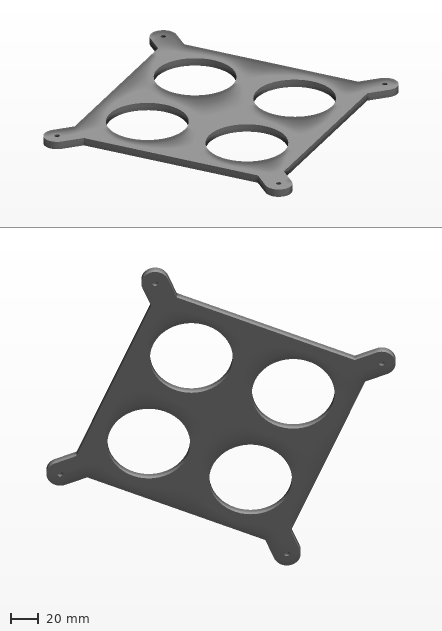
import cadquery as cq

outer_side = 198.0
thickness = 6.0
plate_side = 168.0
bore_diameter = 60.0
bore_pitch = 80.0
ear_width = 20.0
screw_hole_diameter = 4.0

ear_radius = ear_width / 2
screw_pitch = outer_side - ear_width
screw_offset = screw_pitch / 2
ear_length = screw_offset * 2**0.5


def diagonal_ear(angle):
    """Rounded bar from the plate centre out to one screw hole."""
    bar = cq.Workplane("XY").center(ear_length / 2, 0).rect(ear_length, ear_width).extrude(thickness)
    tip = cq.Workplane("XY").center(ear_length, 0).circle(ear_radius).extrude(thickness)
    return bar.union(tip).rotate((0, 0, 0), (0, 0, 1), angle)


body = cq.Workplane("XY").rect(plate_side, plate_side).extrude(thickness)
for corner_angle in (45, 135, 225, 315):
    body = body.union(diagonal_ear(corner_angle))


def square_hole_pattern(pitch, diameter):
    """Four through-hole cutters at the corners of a centred square."""
    return cq.Workplane("XY").rarray(pitch, pitch, 2, 2).circle(diameter / 2).extrude(thickness)


bores = square_hole_pattern(bore_pitch, bore_diameter)
screw_holes = square_hole_pattern(screw_pitch, screw_hole_diameter)

result = body.cut(bores).cut(screw_holes)